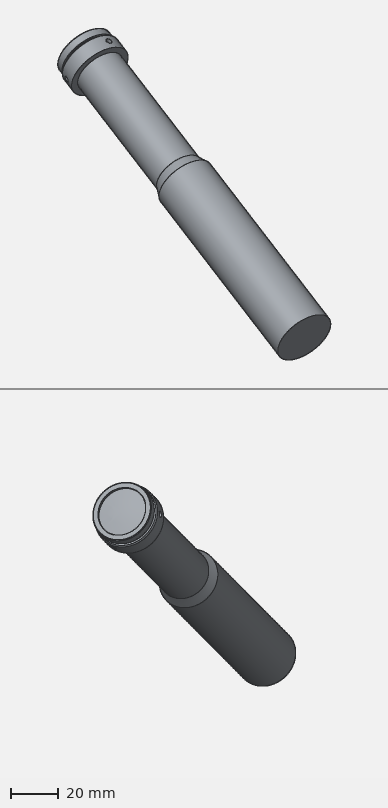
import cadquery as cq
import math

overall_length = 175.4
rim_chamfer = 0.4
rim_end = 3.9
groove_end = 4.9
collar_chamfer = 0.5
collar_end = 12.8
taper_start = 75.6
taper_end = 80.9

barrel_radius = 13.2
groove_radius = 12.1
collar_radius = 14.0
tube_radius = 11.0

lens_radius = 10.7
recess_depth = 1.2
lens_dome_height = 0.7

hole_count = 3
hole_diameter = 2.6
hole_depth = 1.8
hole_station = (groove_end + collar_end) / 2


def make_body():
    """Stepped and tapered barrel, revolved about X."""
    profile = [
        (0, 0),
        (0, barrel_radius - rim_chamfer),
        (rim_chamfer, barrel_radius),
        (rim_end, barrel_radius),
        (rim_end, groove_radius),
        (groove_end, groove_radius),
        (groove_end, collar_radius - collar_chamfer),
        (groove_end + collar_chamfer, collar_radius),
        (collar_end, collar_radius),
        (collar_end, tube_radius),
        (taper_start, tube_radius),
        (taper_end, barrel_radius),
        (overall_length, barrel_radius),
        (overall_length, 0),
    ]
    return cq.Workplane("XY").polyline(profile).close().revolve(360, (0, 0, 0), (1, 0, 0))


def make_lens_recess():
    """Shallow round recess whose floor is a convex spherical lens surface."""
    sphere_radius = (lens_radius**2 + lens_dome_height**2) / (2 * lens_dome_height)
    half_angle = math.asin(lens_radius / sphere_radius) / 2
    arc_middle = (
        recess_depth - lens_dome_height + sphere_radius * (1 - math.cos(half_angle)),
        sphere_radius * math.sin(half_angle),
    )
    return (
        cq.Workplane("XY")
        .lineTo(0, lens_radius)
        .lineTo(recess_depth, lens_radius)
        .threePointArc(arc_middle, (recess_depth - lens_dome_height, 0))
        .close()
        .revolve(360, (0, 0, 0), (1, 0, 0))
    )


def make_screw_hole(angle):
    """Radial blind hole in the collar, turned about X from the -Y side."""
    hole = cq.Solid.makeCylinder(
        hole_diameter / 2,
        hole_depth,
        cq.Vector(hole_station, -collar_radius, 0),
        cq.Vector(0, 1, 0),
    )
    return hole.rotate(cq.Vector(0, 0, 0), cq.Vector(1, 0, 0), angle)


result = make_body().cut(make_lens_recess())
for index in range(hole_count):
    result = result.cut(cq.Workplane(make_screw_hole(index * 360 / hole_count)))